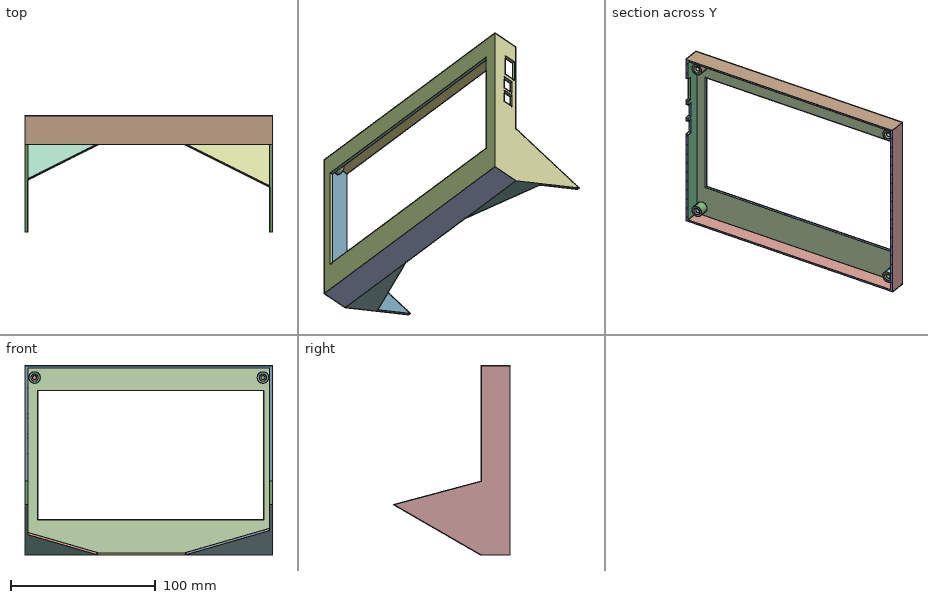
import cadquery as cq
import math

width = 171.2
height = 131.2
frame_depth = 20.0
side_wall = 2.0
floor_wall = 1.6
face_plate = 2.0

window_left = 9.0
window_bottom = 24.6
window_width = 156.1
window_height = 89.2

wing_length = 70.0
wing_angle = math.radians(30)
wing_top_angle = math.radians(15)
wing_reach = wing_length * math.cos(wing_angle)
wing_tip_z = wing_length * math.sin(wing_angle)
wing_root_z = wing_tip_z + wing_reach * math.tan(wing_top_angle)

left_gusset_span = 51.0
left_gusset_reach = 25.6
right_gusset_span = 61.0
right_gusset_reach = 30.5
gusset_thickness = 1.8

boss_diameter = 8.0
boss_length = 7.0
boss_inset_x = 6.6
boss_bottom_inset = 8.0
boss_top_inset = 8.3
pilot_diameter = 2.9
pilot_mouth_diameter = 5.0
pilot_mouth_depth = 1.0

port_openings = [
    (10.0, 15.6, 8.4, 17.9),
    (9.0, 36.8, 7.4, 10.7),
    (9.0, 50.1, 7.4, 10.7),
]


def box(x, y, z, size_x, size_y, size_z):
    """Box with its lowest corner at (x, y, z)."""
    return cq.Workplane("XY").box(size_x, size_y, size_z, centered=False).translate((x, y, z))


def frame():
    """Open tray with a window in its face plate."""
    shell = box(0, 0, 0, width, frame_depth, height)
    cavity = box(
        side_wall, 0, floor_wall,
        width - 2 * side_wall, frame_depth - face_plate, height - 2 * floor_wall,
    )
    window = box(window_left, 0, window_bottom, window_width, frame_depth, window_height)
    return shell.cut(cavity).cut(window)


def wing(x):
    """Triangular extension of a side wall, starting at x."""
    profile = cq.Workplane("YZ").polyline([(0, 0), (0, wing_root_z), (-wing_reach, wing_tip_z)]).close()
    return profile.extrude(side_wall).translate((x, 0, 0))


def gusset(corner_x, direction, span, reach):
    """Triangular plate on the wing slope, spanning from corner_x in the given x direction."""
    slope_length = reach / math.cos(wing_angle)
    slope_plane = cq.Plane(
        origin=(corner_x, 0, 0),
        xDir=(direction, 0, 0),
        normal=(0, math.sin(wing_angle), math.cos(wing_angle)),
    )
    outward = -direction * slope_length
    outline = cq.Workplane(slope_plane).polyline([(0, 0), (span, 0), (0, outward)]).close()
    return outline.extrude(gusset_thickness)


def boss(x, z):
    """Screw boss with a countersunk blind pilot hole, standing on the face plate."""
    mouth_y = frame_depth - face_plate - boss_length
    post = cq.Workplane("XZ", origin=(x, mouth_y, z)).circle(boss_diameter / 2).extrude(-boss_length)
    pilot = cq.Workplane("XZ", origin=(x, mouth_y, z)).circle(pilot_diameter / 2).extrude(-boss_length)
    sink = cq.Solid.makeCone(
        pilot_mouth_diameter / 2, pilot_diameter / 2, pilot_mouth_depth,
        cq.Vector(x, mouth_y, z), cq.Vector(0, 1, 0),
    )
    return post.cut(pilot).cut(cq.Workplane(sink))


result = frame()

for wall_x in (0, width - side_wall):
    result = result.union(wing(wall_x))

result = result.union(gusset(0, 1, left_gusset_span, left_gusset_reach))
result = result.union(gusset(width, -1, right_gusset_span, right_gusset_reach))

for boss_x in (boss_inset_x, width - boss_inset_x):
    for boss_z in (boss_bottom_inset, height - boss_top_inset):
        result = result.union(boss(boss_x, boss_z))

for from_face, from_top, opening_size, opening_height in port_openings:
    result = result.cut(box(
        0, frame_depth - from_face - opening_size, height - from_top - opening_height,
        side_wall, opening_size, opening_height,
    ))